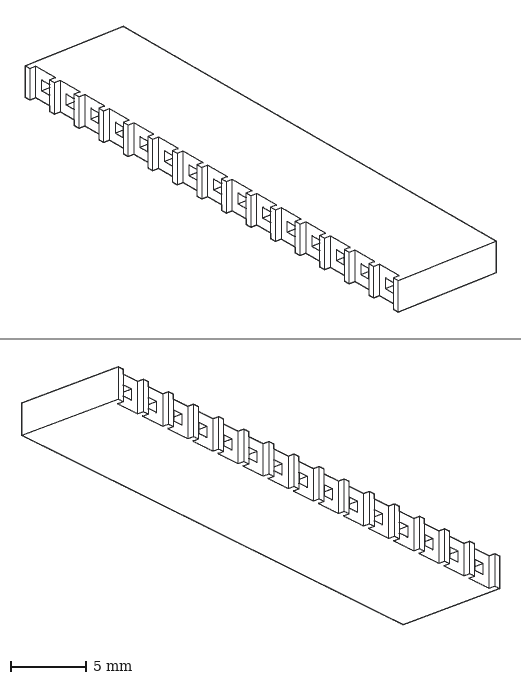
import cadquery as cq

length = 38.6
depth = 8.5
height = 2.4

cell_count = 15
rib_width = 0.5
rib_depth = 0.5
hole_side = 0.8

cell_pitch = (length - rib_width) / cell_count
recess_width = cell_pitch - rib_width
front_y = -depth / 2
cell_centers = [((i - (cell_count - 1) / 2) * cell_pitch, 0) for i in range(cell_count)]


def make_recesses():
    """Full-height gaps between the ribs, cut into the -Y face."""
    return (
        cq.Workplane("XY")
        .pushPoints(cell_centers)
        .box(recess_width, rib_depth, height)
        .translate((0, front_y + rib_depth / 2, 0))
    )


def make_contact_holes():
    """Square holes through the full depth, one in the middle of each cell."""
    return (
        cq.Workplane("XY")
        .pushPoints(cell_centers)
        .box(hole_side, depth, hole_side)
    )


housing = cq.Workplane("XY").box(length, depth, height)
result = housing.cut(make_recesses()).cut(make_contact_holes())